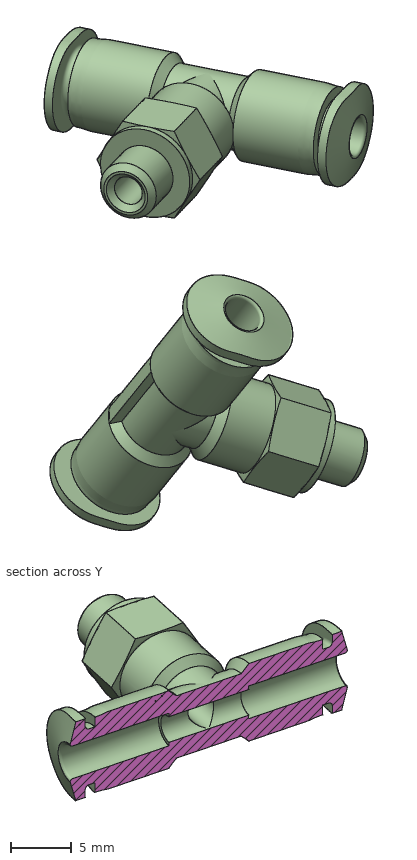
import cadquery as cq
import math


BODY_R = 7.7 / 2
SHOULDER = 0.75
WAIST_R = BODY_R - SHOULDER
BORE_R = 2.5 / 2

RUN_HALF = 13.4
BODY_END = 11.0
CAP_R = 7.5 / 2
CAP_LENGTH = 0.32
CAP_TAPER = 0.96
TUBE_R = 3.2 / 2
TUBE_STOP = BODY_R

COLLAR_R = 5.57 / 2
FLANGE_HALF_LENGTH = 4.87
FLANGE_HALF_WIDTH = 3.9
FLANGE_INNER = 11.9
FACE_CONE = 0.75
CONE_RIM_R = 4.7
MOUTH_R = 1.85
MOUTH_ROUND = MOUTH_R - TUBE_R
NECK_FILLET = 0.35

BRANCH_SHOULDER = 3.65
HEX_START = 7.65
HEX_END = 12.48
HEX_FLATS = 8.0
HEX_CHAMFER_ANGLE = 10.0
WASHER_END = 13.07
THREAD_R = 5.0 / 2
THREAD_CHAMFER = 0.54
BRANCH_END = 21.9 - FLANGE_HALF_LENGTH
COUNTERSINK_R = 1.75
COUNTERSINK_DEPTH = 0.54

RIB_REACH = 3.8
RIB_THICKNESS = 1.6


def revolve_x(profile):
    """Solid of revolution about X from a closed (x, radius) outline."""
    return profile.close().revolve(360, (0, 0, 0), (1, 0, 0))


def branch_cylinder(radius, start, end):
    """Cylinder about the branch axis between two distances from the run axis."""
    return cq.Workplane("XZ").workplane(offset=start).circle(radius).extrude(end - start)


def make_socket():
    """Socket on the +X side with its shoulder down to the waist."""
    profile = (
        cq.Workplane("XY")
        .lineTo(0, WAIST_R)
        .lineTo(BODY_R - SHOULDER, WAIST_R)
        .lineTo(BODY_R, BODY_R)
        .lineTo(BODY_END - CAP_LENGTH - CAP_TAPER, BODY_R)
        .lineTo(BODY_END - CAP_LENGTH, CAP_R)
        .lineTo(BODY_END, CAP_R)
        .lineTo(BODY_END, 0)
    )
    return revolve_x(profile)


def make_collar():
    """Release collar on the +X side: neck and oblong flange with a conical face."""
    flange_stock = (
        cq.Workplane("YZ")
        .workplane(offset=FLANGE_INNER)
        .slot2D(2 * FLANGE_HALF_LENGTH, 2 * FLANGE_HALF_WIDTH)
        .extrude(RUN_HALF - FLANGE_INNER)
    )
    cone_profile = (
        cq.Workplane("XY")
        .moveTo(FLANGE_INNER, 0)
        .lineTo(FLANGE_INNER, FLANGE_HALF_LENGTH)
        .lineTo(RUN_HALF - FACE_CONE, FLANGE_HALF_LENGTH)
        .lineTo(RUN_HALF - FACE_CONE, CONE_RIM_R)
        .lineTo(RUN_HALF, MOUTH_R)
        .lineTo(RUN_HALF, 0)
    )
    flange = flange_stock.intersect(revolve_x(cone_profile))
    neck_profile = (
        cq.Workplane("XY")
        .moveTo(BODY_END, 0)
        .lineTo(BODY_END, COLLAR_R)
        .lineTo(FLANGE_INNER - NECK_FILLET, COLLAR_R)
        .radiusArc((FLANGE_INNER, COLLAR_R + NECK_FILLET), -NECK_FILLET)
        .lineTo(FLANGE_INNER, 0)
    )
    return flange.union(revolve_x(neck_profile))


def make_tube_hole():
    """Tube hole on the +X side with a rounded mouth."""
    profile = (
        cq.Workplane("XY")
        .moveTo(TUBE_STOP, 0)
        .lineTo(TUBE_STOP, TUBE_R)
        .lineTo(RUN_HALF - MOUTH_ROUND, TUBE_R)
        .radiusArc((RUN_HALF, MOUTH_R), -MOUTH_ROUND)
        .lineTo(RUN_HALF, 0)
    )
    return revolve_x(profile)


def make_hexagon():
    """Hexagon with corners on X, its corners chamfered at both ends."""
    across_corners = HEX_FLATS / math.cos(math.radians(30))
    length = HEX_END - HEX_START
    hexagon = (
        cq.Workplane("XZ").workplane(offset=HEX_START).polygon(6, across_corners).extrude(length)
    )
    corner_depth = (across_corners - HEX_FLATS) / 2
    chamfer_height = corner_depth * math.tan(math.radians(HEX_CHAMFER_ANGLE))
    envelope = (
        branch_cylinder(across_corners / 2, HEX_START, HEX_END)
        .faces("<Y or >Y")
        .chamfer(chamfer_height, corner_depth)
    )
    return hexagon.intersect(envelope)


def make_branch():
    """Branch from the waist out to the threaded end."""
    waist = branch_cylinder(WAIST_R, 0, BRANCH_SHOULDER)
    barrel = (
        branch_cylinder(BODY_R, BRANCH_SHOULDER - SHOULDER, HEX_START)
        .faces(">Y")
        .chamfer(SHOULDER)
    )
    washer = branch_cylinder(HEX_FLATS / 2, HEX_END, WASHER_END)
    thread = (
        branch_cylinder(THREAD_R, WASHER_END, BRANCH_END).faces("<Y").chamfer(THREAD_CHAMFER)
    )
    return waist.union(barrel).union(make_hexagon()).union(washer).union(thread)


def make_branch_hole():
    """Branch bore reaching the run axis, countersunk at the threaded end."""
    countersink = (
        cq.Workplane("XY")
        .moveTo(0, -BRANCH_END)
        .lineTo(COUNTERSINK_R, -BRANCH_END)
        .lineTo(BORE_R, COUNTERSINK_DEPTH - BRANCH_END)
        .lineTo(0, COUNTERSINK_DEPTH - BRANCH_END)
        .close()
        .revolve(360, (0, 0, 0), (0, 1, 0))
    )
    return branch_cylinder(BORE_R, 0, BRANCH_END).union(countersink)


def make_both_ends(half):
    """A +X side solid together with its mirror image on the -X side."""
    return half.union(half.mirror("YZ"))


rib = cq.Workplane("XY").box(2 * BODY_R, RIB_REACH, RIB_THICKNESS, centered=(True, False, True))
run_bore = cq.Workplane("YZ").circle(BORE_R).extrude(RUN_HALF, both=True)

result = (
    make_both_ends(make_socket().union(make_collar()))
    .union(make_branch())
    .union(rib)
    .cut(run_bore)
    .cut(make_both_ends(make_tube_hole()))
    .cut(make_branch_hole())
)